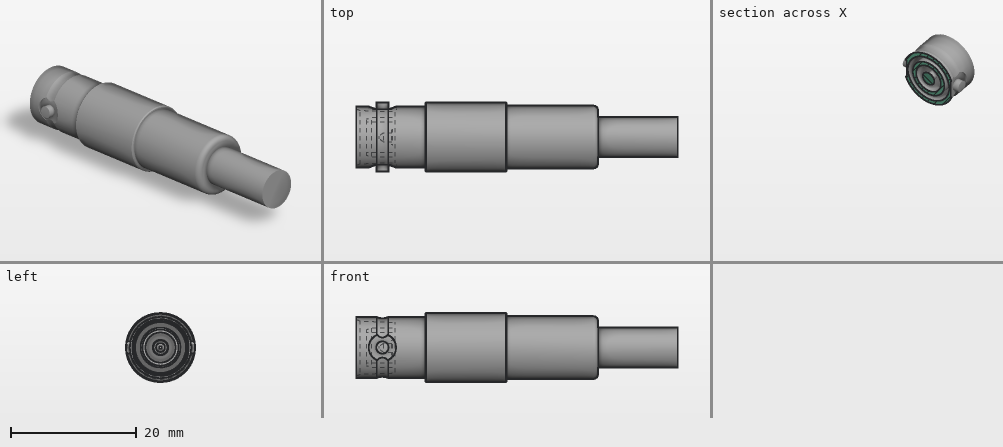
import cadquery as cq


total_length = 51.2
socket_radius = 4.85
sleeve_start = 11.0
sleeve_end = 23.95
sleeve_diameter = 11.0
sleeve_radius = sleeve_diameter / 2
sleeve_chamfer = 0.15
rear_radius = 5.0
rear_end = 38.5
rear_fillet = 0.8

lug_position = 4.2
lug_radius = 0.95
lug_seat_diameter = 4.35
lug_seat_height = 4.4
groove_half_width = 0.9
groove_depth = 0.185

mouth_radius = 4.5
lead_in_radius = 4.25
lead_in_depth = 0.55
bore_floor_radius = 4.05
bore_depth = 6.15

tube_start = 1.65
tube_outer_radius = 3.2
tube_inner_radius = 2.4
tube_rim_radius = 2.85
tube_taper_length = 0.75

shoulder_radius = 1.25
shoulder_chamfer = 0.1
shoulder_start = 5.65
pin_radius = 0.7
pin_tip_radius = 0.23
pin_tip_length = 0.75
pin_start = 3.6

cable_diameter = 6.4


def rod(start, end, radius):
    """Solid cylinder along the X axis."""
    return cq.Workplane("YZ").workplane(offset=start).circle(radius).extrude(end - start)


def turned(points):
    """Turn a closed outline of (x, radius) points about the X axis."""
    return cq.Workplane("XY").polyline(points).close().revolve(360, (0, 0, 0), (1, 0, 0))


def make_exterior():
    socket = rod(0, sleeve_start, socket_radius)
    sleeve = rod(sleeve_start, sleeve_end, sleeve_radius).faces("<X or >X").chamfer(sleeve_chamfer)
    rear = rod(sleeve_end, rear_end, rear_radius).faces(">X").edges().fillet(rear_fillet)
    return socket.union(sleeve).union(rear)


def make_groove():
    """Ring with a shallow arc section, cut into the socket wall."""
    return (
        cq.Workplane("XY")
        .moveTo(lug_position - groove_half_width, socket_radius)
        .threePointArc(
            (lug_position, socket_radius - groove_depth),
            (lug_position + groove_half_width, socket_radius),
        )
        .close()
        .revolve(360, (0, 0, 0), (1, 0, 0))
    )


def make_bore():
    return turned([
        (0, 0),
        (0, mouth_radius),
        (lead_in_depth, lead_in_radius),
        (bore_depth, bore_floor_radius),
        (bore_depth, 0),
    ])


def make_tube():
    return turned([
        (tube_start, tube_inner_radius),
        (tube_start, tube_rim_radius),
        (tube_start + tube_taper_length, tube_outer_radius),
        (bore_depth, tube_outer_radius),
        (bore_depth, tube_inner_radius),
    ])


def radial_cylinder(radius, side):
    """Cylinder along Y at the lug position, from the seat flat outwards on one side (+1 or -1)."""
    flat = cq.Workplane("XZ", origin=(lug_position, side * lug_seat_height, 0))
    return flat.circle(radius).extrude(-side * (sleeve_radius - lug_seat_height))


def make_housing():
    body = make_exterior().cut(make_groove()).cut(make_bore()).union(make_tube())
    lug_envelope = rod(0, sleeve_start, sleeve_radius)
    for side in (1, -1):
        seat = radial_cylinder(lug_seat_diameter / 2, side)
        lug = radial_cylinder(lug_radius, side).intersect(lug_envelope)
        body = body.cut(seat).union(lug)
    return body


def make_contact():
    shoulder = rod(shoulder_start, bore_depth, shoulder_radius).faces("<X").chamfer(shoulder_chamfer)
    pin = turned([
        (pin_start, 0),
        (pin_start, pin_tip_radius),
        (pin_start + pin_tip_length, pin_radius),
        (shoulder_start, pin_radius),
        (shoulder_start, 0),
    ])
    return shoulder.union(pin)


housing = make_housing()
contact = make_contact()
cable = rod(rear_end, total_length, cable_diameter / 2)

result = cq.Compound.makeCompound([
    housing.solids().val(),
    contact.solids().val(),
    cable.val(),
])